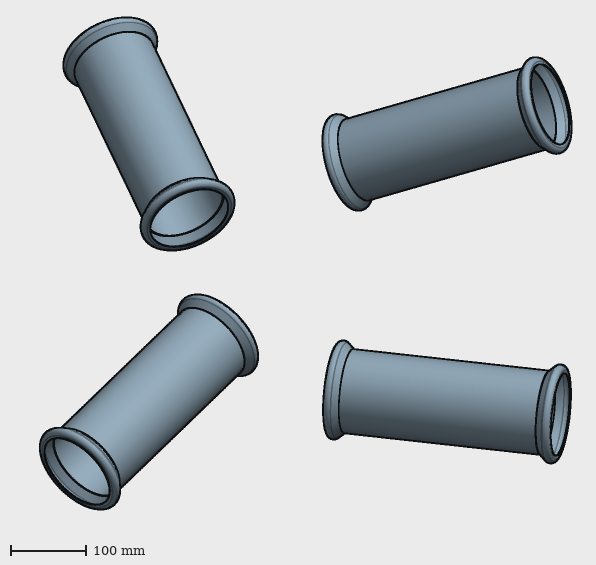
import cadquery as cq
import math

length = 310.0
rim_diameter = 132.7
tube_diameter = 112.8
bore_diameter = 108.8
socket_diameter = 110.5
bead_radius = 6.8
cone_angle = math.radians(41)

half_length = length / 2
tube_radius = tube_diameter / 2
bore_radius = bore_diameter / 2
socket_radius = socket_diameter / 2
wall = tube_radius - socket_radius
bead_center_x = half_length - bead_radius
bead_center_r = rim_diameter / 2 - bead_radius

end_face = 0
crest = math.pi / 2
cone_tangent = crest + cone_angle


def bead_point(radius, angle):
    """Point (x, r) on a circle about the centre of the +X bead."""
    return (
        bead_center_x + radius * math.cos(angle),
        bead_center_r + radius * math.sin(angle),
    )


def cone_foot(start, radius):
    """Point (x, r) where the cone from start comes down to a cylinder of this radius."""
    run = (start[1] - radius) / math.tan(cone_angle)
    return (start[0] - run, radius)


def mirrored(point):
    """The same profile point at the -X end."""
    return (-point[0], point[1])


def beaded_body(bead_size, cylinder_radius):
    """Solid cylinder that flares over a tangent cone into a round bead at each end."""
    edge = bead_point(bead_size, end_face)
    top = bead_point(bead_size, crest)
    cone_start = bead_point(bead_size, cone_tangent)
    foot = cone_foot(cone_start, cylinder_radius)
    profile = (
        cq.Workplane("XY")
        .moveTo(edge[0], 0)
        .lineTo(*edge)
        .threePointArc(top, cone_start)
        .lineTo(*foot)
        .lineTo(*mirrored(foot))
        .lineTo(*mirrored(cone_start))
        .threePointArc(mirrored(top), mirrored(edge))
        .lineTo(-edge[0], 0)
        .close()
    )
    return profile.revolve(360, (0, 0, 0), (1, 0, 0))


outside = beaded_body(bead_radius, tube_radius)
cavity = beaded_body(bead_radius - wall, socket_radius)

mouth_cutter = (
    cq.Workplane("YZ")
    .workplane(offset=bead_center_x)
    .circle(socket_radius)
    .extrude(bead_radius)
)
mouths = mouth_cutter.union(mouth_cutter.mirror("YZ"))

inner_cone_start = bead_point(bead_radius - wall, cone_tangent)
sleeve_half = cone_foot(inner_cone_start, socket_radius)[0]
sleeve = (
    cq.Workplane("YZ")
    .circle(tube_radius)
    .circle(bore_radius)
    .extrude(sleeve_half, both=True)
)

result = outside.cut(cavity).cut(mouths).union(sleeve).clean()